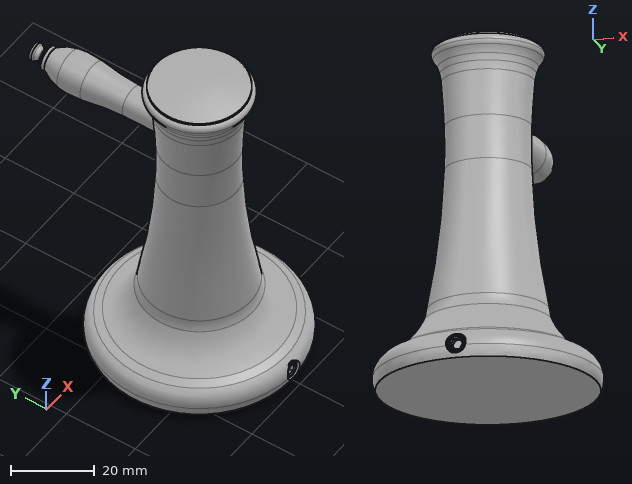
import cadquery as cq
import math

foot_radius = 27.0
foot_rise = 1.5
base_radius = 27.75
base_widest_z = 3.0
shoulder_z = 7.5
shoulder_radius = 25.3
flare_z = 8.5
flare_radius = 23.2
flare_mid_z = 11.9
flare_mid_radius = 19.0
waist_z = 16.9
waist_radius = 15.6
shaft_z = 19.85
shaft_radius = 14.8
shaft_mid_z = 37.4
shaft_mid_radius = 11.9
neck_low_z = 55.1
neck_high_z = 65.95
neck_edge_radius = 10.5
throat_z = 77.1
throat_radius = 11.2
collar_low_z = 79.2
collar_low_radius = 11.6
collar_high_z = 80.9
collar_high_radius = 12.1
lip_under_z = 82.8
lip_under_radius = 13.3
lip_widest_z = 83.95
lip_radius = 13.7
column_top_z = 85.5

button_radius = 12.6
button_edge = 0.5
overall_height = 87.8

lever_z = 68.7
lever_inner_y = 5.3
shank_radius = 4.2
shank_end_y = 19.6
bulb_start_y = 31.1
bulb_end_y = 37.85
bulb_edge_radius = 5.4
bulb_radius = 5.6
ring_start_y = 42.9
ring_radius = 3.3
lever_end_y = 44.0

groove_width = 0.3
groove_radius = 3.0
collar_end_y = 44.6
cove_start_y = 45.4
cove_start_radius = 2.5
finial_neck_y = 46.2
finial_neck_radius = 1.9
knob_under_y = 46.9
knob_under_radius = 2.2
knob_radius = 2.5
knob_low_y = 47.3
knob_high_y = 48.0
finial_tip_y = 49.0

screw_radius = 2.5
screw_z = 3.5
screw_face_y = -27.05
screw_length = 5.3
screw_back_y = screw_face_y + screw_length
screw_chamfer = 0.4
hex_across_flats = 2.55
hex_depth = 1.8
hex_bevel = 0.35


def dome_midpoint(rim_radius, rim_level, crown_level):
    """Point of a spherical dome at half its rim radius, as (radius, level)."""
    rise = crown_level - rim_level
    sphere_radius = (rim_radius**2 + rise**2) / (2 * rise)
    half_radius = rim_radius / 2
    drop = sphere_radius - math.sqrt(sphere_radius**2 - half_radius**2)
    return (half_radius, crown_level - drop)


def along_y(profile):
    """Revolve a (radius, distance) profile and lay its axis along +Y at the lever height."""
    return (
        profile.close()
        .revolve(360, (0, 0, 0), (0, 1, 0))
        .translate((0, 0, lever_z))
    )


def make_lever():
    bulb_mid_y = (bulb_start_y + bulb_end_y) / 2
    half_bulb = (bulb_end_y - bulb_start_y) / 2
    bulb_slope = 2 * (bulb_radius - bulb_edge_radius) / half_bulb
    profile = (
        cq.Workplane("XY")
        .moveTo(0, lever_inner_y)
        .lineTo(shank_radius, lever_inner_y)
        .lineTo(shank_radius, shank_end_y)
        .spline(
            [(bulb_edge_radius, bulb_start_y)],
            tangents=[(0, 1), (bulb_slope, 1)],
            includeCurrent=True,
        )
        .threePointArc((bulb_radius, bulb_mid_y), (bulb_edge_radius, bulb_end_y))
        .tangentArcPoint((ring_radius, ring_start_y), relative=False)
        .lineTo(ring_radius, lever_end_y)
        .lineTo(0, lever_end_y)
    )
    return along_y(profile)


def make_finial():
    collar_start_y = lever_end_y + groove_width
    profile = (
        cq.Workplane("XY")
        .moveTo(0, lever_end_y)
        .lineTo(groove_radius, lever_end_y)
        .lineTo(groove_radius, collar_start_y)
        .lineTo(ring_radius, collar_start_y)
        .lineTo(ring_radius, collar_end_y)
        .lineTo(cove_start_radius, cove_start_y)
        .threePointArc((finial_neck_radius, finial_neck_y), (knob_under_radius, knob_under_y))
        .lineTo(knob_radius, knob_low_y)
        .lineTo(knob_radius, knob_high_y)
        .threePointArc(dome_midpoint(knob_radius, knob_high_y, finial_tip_y), (0, finial_tip_y))
    )
    return along_y(profile)


def front_plane(y):
    """Plane facing -Y, centred on the set screw axis."""
    return cq.Workplane(cq.Plane((0, y, screw_z), xDir=(1, 0, 0), normal=(0, -1, 0)))


def make_set_screw():
    blank = (
        front_plane(screw_back_y)
        .circle(screw_radius)
        .extrude(screw_length)
        .faces("<Y")
        .chamfer(screw_chamfer)
    )
    corner_diameter = hex_across_flats / math.cos(math.pi / 6)
    mouth_diameter = (hex_across_flats + 2 * hex_bevel) / math.cos(math.pi / 6)
    socket = front_plane(screw_face_y + hex_depth).polygon(6, corner_diameter).extrude(hex_depth)
    mouth = (
        front_plane(screw_face_y)
        .polygon(6, mouth_diameter)
        .workplane(offset=-hex_bevel)
        .polygon(6, corner_diameter)
        .loft(ruled=True)
    )
    return blank.cut(socket).cut(mouth)


def make_column():
    """Turned column on a flared base, bored for the lever shank and the set screw."""
    column = (
        cq.Workplane("XZ")
        .lineTo(foot_radius, 0)
        .spline([(base_radius, base_widest_z)], tangents=[(1, foot_rise), (0, 1)], includeCurrent=True)
        .tangentArcPoint((shoulder_radius, shoulder_z), relative=False)
        .lineTo(flare_radius, flare_z)
        .threePointArc((flare_mid_radius, flare_mid_z), (waist_radius, waist_z))
        .tangentArcPoint((shaft_radius, shaft_z), relative=False)
        .threePointArc((shaft_mid_radius, shaft_mid_z), (neck_edge_radius, neck_low_z))
        .tangentArcPoint((neck_edge_radius, neck_high_z), relative=False)
        .tangentArcPoint((throat_radius, throat_z), relative=False)
        .tangentArcPoint((collar_low_radius, collar_low_z), relative=False)
        .tangentArcPoint((collar_high_radius, collar_high_z), relative=False)
        .tangentArcPoint((lip_under_radius, lip_under_z), relative=False)
        .tangentArcPoint((lip_radius, lip_widest_z), relative=False)
        .tangentArcPoint((button_radius, column_top_z), relative=False)
        .lineTo(0, column_top_z)
        .close()
        .revolve(360, (0, 0, 0), (0, 1, 0))
    )
    lever_bore = (
        cq.Workplane(cq.Plane((0, lever_inner_y, lever_z), xDir=(1, 0, 0), normal=(0, 1, 0)))
        .circle(shank_radius)
        .extrude(shank_end_y - lever_inner_y)
    )
    screw_hole = front_plane(screw_back_y).circle(screw_radius).extrude(screw_back_y + base_radius)
    return column.cut(lever_bore).cut(screw_hole)


def make_button():
    edge_top_z = column_top_z + button_edge
    return (
        cq.Workplane("XZ")
        .moveTo(0, column_top_z)
        .lineTo(button_radius, column_top_z)
        .lineTo(button_radius, edge_top_z)
        .threePointArc(dome_midpoint(button_radius, edge_top_z, overall_height), (0, overall_height))
        .close()
        .revolve(360, (0, 0, 0), (0, 1, 0))
    )


column = make_column()
button = make_button()
lever = make_lever()
finial = make_finial()
set_screw = make_set_screw()

result = cq.Compound.makeCompound(
    [column.val(), button.val(), lever.val(), finial.val(), set_screw.val()]
)